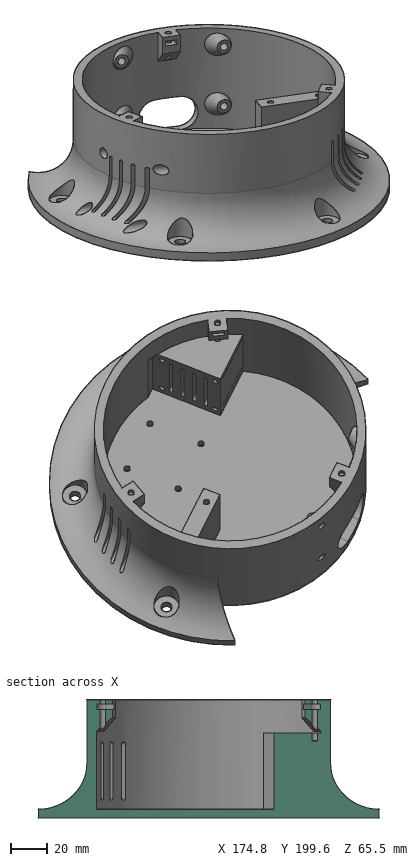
import cadquery as cq
import math

drum_diameter = 150.0
bore_diameter = 140.0
drum_height = 65.5
floor_thickness = 5.0
drum_radius = drum_diameter / 2

flange_radius = 99.8
flange_thickness = 5.0
flare_radius = flange_radius - drum_radius
gap_apex_x = 46.7
flange_screw_circle_radius = 86.0
flange_screw_angles = (-90, -30, 30, 90)
flange_screw_diameter = 6.0
flange_screw_recess_diameter = 14.0

lug_angles = (-60, 60, 180)
lug_width = 10.4
lug_inner_radius = 62.3
lug_depth = drum_radius - lug_inner_radius
lug_face_height = 10.0
lug_face_bottom = drum_height - lug_face_height
lug_foot = lug_face_bottom - lug_depth
lug_hole_circle_radius = 67.5
nut_width = 6.8
nut_height = 2.8
nut_pocket_top = drum_height - 2.5

pilot_diameter = 3.4

rib_width = 9.8
rib_center_x = -2.2
rib_end_y = 29.7
rib_top = 45.5
rib_hole_ys = (37.0, 64.9)

fan_center_x = 41.3
fan_center_z = 26.0
fan_screw_pitch = 32.0
fan_recess_diameter = 6.0
fan_recess_end_y = -40.0
fan_block_left_x = 22.0
fan_block_face_y = -36.0
fan_block_top = 47.1
fan_pocket_right_x = 63.0
fan_thickness = 10.0
vent_count = 4
vent_pitch = 7.0
vent_width = 2.0
vent_length = fan_screw_pitch

floor_hole_center_x = 40.0
floor_hole_pitch = 31.0

opening_width = 35.0
opening_height = 20.0
opening_center_z = floor_thickness + opening_height / 2
boss_pitch_y = 59.9
boss_zs = (19.8, 55.7)
boss_end_x = -59.9
boss_tip_radius = 4.0
boss_slope = 0.72
boss_length = drum_radius + boss_end_x
boss_hole_diameter = 4.4


def upright_cylinder(diameter, bottom, top, x=0, y=0):
    """Cylinder along Z between two heights."""
    base = cq.Workplane("XY", origin=(x, y, bottom))
    return base.circle(diameter / 2).extrude(top - bottom)


def box_between(x_range, y_range, z_range):
    """Axis-aligned box given by its limits along each axis."""
    sizes = [high - low for low, high in (x_range, y_range, z_range)]
    corner = (x_range[0], y_range[0], z_range[0])
    return cq.Workplane("XY").box(*sizes, centered=False).translate(corner)


def flared_flange():
    """Ring with a quarter-round flare, less a right-angled wedge opening to -X."""
    flare_top = flange_thickness + flare_radius
    arc_reach = flare_radius * math.sqrt(0.5)
    ring = (
        cq.Workplane("XZ")
        .lineTo(flange_radius, 0)
        .lineTo(flange_radius, flange_thickness)
        .threePointArc((flange_radius - arc_reach, flare_top - arc_reach), (drum_radius, flare_top))
        .lineTo(0, flare_top)
        .close()
        .revolve(360, (0, 0, 0), (0, 1, 0))
    )
    wedge_reach = gap_apex_x + flange_radius
    wedge = (
        cq.Workplane("XY")
        .moveTo(gap_apex_x, 0)
        .lineTo(-flange_radius, wedge_reach)
        .lineTo(-flange_radius, -wedge_reach)
        .close()
        .extrude(flare_top)
    )
    return ring.cut(wedge)


def flange_screw_hole(angle):
    """Through hole with a flat recess sunk into the flare."""
    x = flange_screw_circle_radius * math.cos(math.radians(angle))
    y = flange_screw_circle_radius * math.sin(math.radians(angle))
    hole = upright_cylinder(flange_screw_diameter, 0, flange_thickness, x, y)
    recess = upright_cylinder(flange_screw_recess_diameter, flange_thickness, drum_height, x, y)
    return hole.union(recess)


def lid_lug(angle):
    """Lug whose underside slopes down at 45 degrees to meet the wall."""
    lug = (
        cq.Workplane("XZ")
        .moveTo(lug_inner_radius, drum_height)
        .lineTo(lug_inner_radius, lug_face_bottom)
        .lineTo(drum_radius, lug_foot)
        .lineTo(drum_radius, drum_height)
        .close()
        .extrude(lug_width / 2, both=True)
    )
    return lug.rotate((0, 0, 0), (0, 0, 1), angle)


def lug_cutout(angle):
    """Screw hole down through a lug and the nut pocket opening to the bore."""
    pocket_bottom = nut_pocket_top - nut_height
    screw = upright_cylinder(pilot_diameter, lug_foot, drum_height, lug_hole_circle_radius)
    pocket_end = upright_cylinder(nut_width, pocket_bottom, nut_pocket_top, lug_hole_circle_radius)
    pocket_mouth = box_between(
        (lug_inner_radius, lug_hole_circle_radius),
        (-nut_width / 2, nut_width / 2),
        (pocket_bottom, nut_pocket_top),
    )
    return screw.union(pocket_end).union(pocket_mouth).rotate((0, 0, 0), (0, 0, 1), angle)


def fan_screw_hole(x, z):
    """Screw hole along Y through the fan block, recessed from the outside."""
    hole_plane = cq.Workplane("XZ", origin=(x, 0, z))
    hole = hole_plane.circle(pilot_diameter / 2).extrude(flange_radius)
    recess_plane = cq.Workplane("XZ", origin=(x, fan_recess_end_y, z))
    recess = recess_plane.circle(fan_recess_diameter / 2).extrude(flange_radius)
    return hole.union(recess)


def wall_boss(y, z):
    """Cone along X, widening from its flat tip to the -X wall."""
    base_radius = boss_tip_radius + boss_slope * boss_length
    return (
        cq.Workplane("YZ", origin=(boss_end_x, y, z))
        .circle(boss_tip_radius)
        .workplane(offset=-boss_length)
        .circle(base_radius)
        .loft()
    )


drum = upright_cylinder(drum_diameter, 0, drum_height)
body = drum.union(flared_flange())
body = body.cut(upright_cylinder(bore_diameter, floor_thickness, drum_height))

rib = box_between(
    (rib_center_x - rib_width / 2, rib_center_x + rib_width / 2),
    (rib_end_y, drum_radius),
    (0, rib_top),
)
fan_block = box_between(
    (fan_block_left_x, drum_radius),
    (-drum_radius, fan_block_face_y),
    (0, fan_block_top),
)
boss_centers = [(y, z) for y in (-boss_pitch_y / 2, boss_pitch_y / 2) for z in boss_zs]
inner_parts = [rib, fan_block]
inner_parts += [lid_lug(angle) for angle in lug_angles]
inner_parts += [wall_boss(y, z) for y, z in boss_centers]
for inner_part in inner_parts:
    body = body.union(inner_part.intersect(drum))

for angle in flange_screw_angles:
    body = body.cut(flange_screw_hole(angle))
for angle in lug_angles:
    body = body.cut(lug_cutout(angle))

for y in rib_hole_ys:
    body = body.cut(upright_cylinder(pilot_diameter, floor_thickness, rib_top, rib_center_x, y))

fan_pocket = box_between(
    (fan_block_left_x, fan_pocket_right_x),
    (fan_block_face_y, fan_block_face_y + fan_thickness),
    (floor_thickness, fan_block_top),
)
body = body.cut(fan_pocket)

vents = (
    cq.Workplane("XZ", origin=(fan_center_x, 0, fan_center_z))
    .rarray(vent_pitch, 2, vent_count, 1)
    .slot2D(vent_length, vent_width, 90)
    .extrude(flange_radius, both=True)
)
body = body.cut(vents)
for x_side in (-1, 1):
    for z_side in (-1, 1):
        screw_x = fan_center_x + x_side * fan_screw_pitch / 2
        screw_z = fan_center_z + z_side * fan_screw_pitch / 2
        body = body.cut(fan_screw_hole(screw_x, screw_z))

floor_holes = (
    cq.Workplane("XY", origin=(floor_hole_center_x, 0, 0))
    .rarray(floor_hole_pitch, floor_hole_pitch, 2, 2)
    .circle(pilot_diameter / 2)
    .extrude(floor_thickness)
)
body = body.cut(floor_holes)

opening = (
    cq.Workplane("YZ", origin=(0, 0, opening_center_z))
    .slot2D(opening_width, opening_height)
    .extrude(-drum_radius)
)
boss_holes = (
    cq.Workplane("YZ", origin=(boss_end_x, 0, 0))
    .pushPoints(boss_centers)
    .circle(boss_hole_diameter / 2)
    .extrude(-boss_length)
)
result = body.cut(opening).cut(boss_holes)